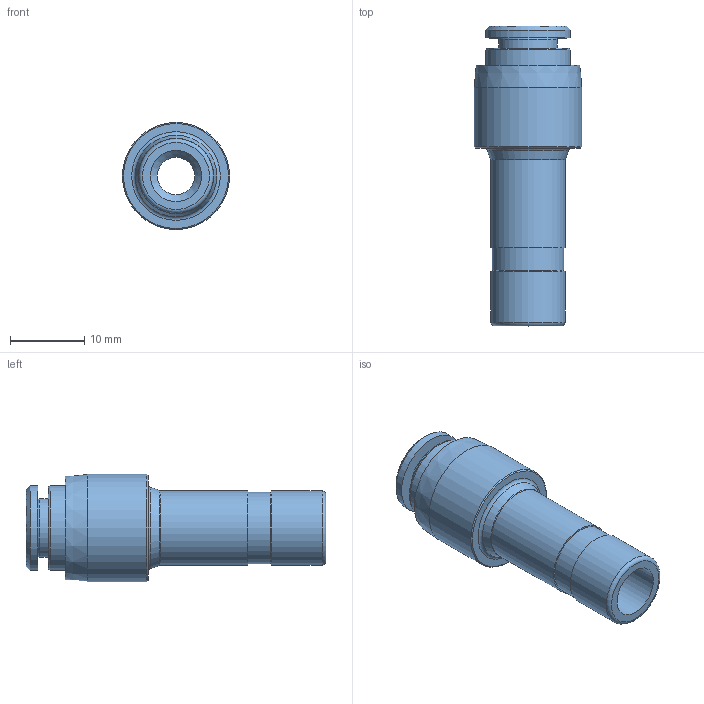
import cadquery as cq
import math

total_length = 40.3

stem_radius = 5.0
stem_end_round = 0.5
groove_radius = 4.8
groove_start = 7.35
groove_end = 10.5
groove_wall_run = 0.1

neck_start = 22.3
neck_step_run = 0.1
neck_small_radius = 5.05
neck_angle = math.radians(20)
shoulder_fillet = 0.52

body_radius = 7.2
body_chamfer = 0.15
body_start = 23.9
body_taper_start = 32.0
body_end = 35.05
body_end_radius = 6.95
taper_bulge = 0.04

collar_radius = 5.7
collar_end = 37.3
collar_chamfer_run = 0.22
collar_chamfer_rise = 0.1
sleeve_radius = 3.95
sleeve_relief_run = 0.2
sleeve_relief_rise = 0.05
flange_start = 38.7
flange_chamfer = 0.55

stem_bore_radius = 3.45
through_radius = 2.5
bore_cone_start = 18.0
bore_cone_length = 1.0

neck_cone_start = neck_start + neck_step_run
neck_cone_end = body_start - shoulder_fillet * (1 - math.sin(neck_angle))
neck_large_radius = neck_small_radius + (neck_cone_end - neck_cone_start) * math.tan(neck_angle)
shoulder_radius = neck_large_radius + shoulder_fillet * math.cos(neck_angle)


def draw_bore(profile):
    """Bore wall, from the sleeve end down to the stem's open end."""
    return (
        profile.moveTo(through_radius, total_length)
        .lineTo(through_radius, bore_cone_start + bore_cone_length)
        .lineTo(stem_bore_radius, bore_cone_start)
        .lineTo(stem_bore_radius, 0)
    )


def draw_stem(profile):
    """Rounded stem end and the shallow groove with one sloped wall."""
    return (
        profile.lineTo(stem_radius - stem_end_round, 0)
        .tangentArcPoint((stem_radius, stem_end_round), relative=False)
        .lineTo(stem_radius, groove_start)
        .lineTo(groove_radius, groove_start + groove_wall_run)
        .lineTo(groove_radius, groove_end)
        .lineTo(stem_radius, groove_end)
        .lineTo(stem_radius, neck_start)
    )


def draw_body(profile):
    """Conical neck, shoulder fillet and the body with its slightly bulged taper."""
    taper_middle = (
        (body_radius + body_end_radius) / 2 + taper_bulge,
        (body_taper_start + body_end) / 2,
    )
    return (
        profile.lineTo(neck_small_radius, neck_cone_start)
        .lineTo(neck_large_radius, neck_cone_end)
        .tangentArcPoint((shoulder_radius, body_start), relative=False)
        .lineTo(body_radius - body_chamfer, body_start)
        .lineTo(body_radius, body_start + body_chamfer)
        .lineTo(body_radius, body_taper_start)
        .threePointArc(taper_middle, (body_end_radius, body_end))
    )


def draw_sleeve(profile):
    """Collar, then the release sleeve with its chamfered flange."""
    return (
        profile.lineTo(collar_radius, body_end)
        .lineTo(collar_radius, collar_end - collar_chamfer_run)
        .lineTo(collar_radius - collar_chamfer_rise, collar_end)
        .lineTo(sleeve_radius, collar_end)
        .lineTo(sleeve_radius, flange_start - sleeve_relief_run)
        .lineTo(sleeve_radius - sleeve_relief_rise, flange_start)
        .lineTo(collar_radius, flange_start)
        .lineTo(collar_radius, total_length - flange_chamfer)
        .lineTo(collar_radius - flange_chamfer, total_length)
    )


profile = cq.Workplane("XY")
for draw_section in (draw_bore, draw_stem, draw_body, draw_sleeve):
    profile = draw_section(profile)

result = profile.close().revolve(360, (0, 0, 0), (0, 1, 0))